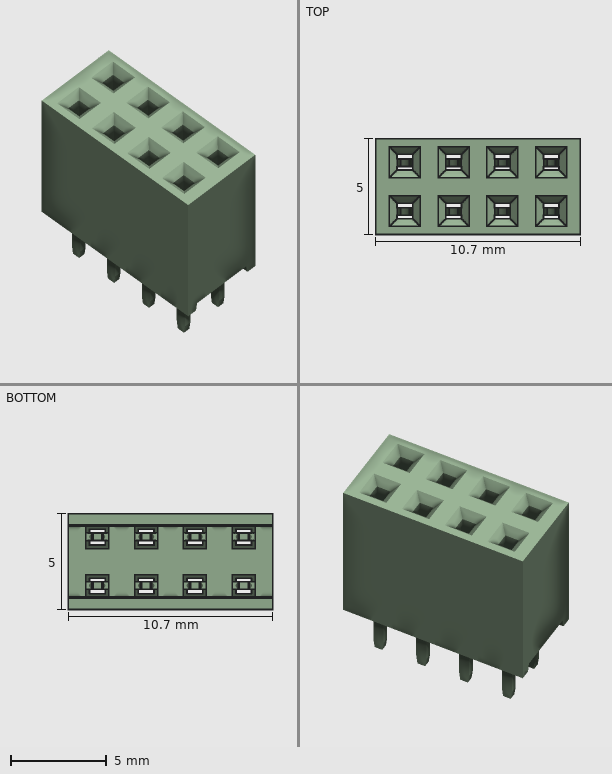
import cadquery as cq
import math

OVERALL_HEIGHT = 11.5

COLUMNS = 4
ROWS = 2
PITCH = 2.54

HOUSING_LENGTH = 10.66
HOUSING_WIDTH = 5.0
HOUSING_HEIGHT = 8.5
STANDOFF_HEIGHT = 0.5
CHANNEL_MOUTH_WIDTH = 3.84
CHANNEL_ROOF_WIDTH = 3.68

ENTRY_SIZE = 1.61
NECK_SIZE = 0.8
ENTRY_DEPTH = (ENTRY_SIZE - NECK_SIZE) / 2
NECK_LENGTH = 0.44
CAVITY_SIZE = 1.2
CAVITY_TOP = HOUSING_HEIGHT - ENTRY_DEPTH - NECK_LENGTH

CONTACT_THICKNESS = 0.4
CONTACT_OFFSET_Y = -0.02
FORK_WIDTH = CAVITY_SIZE
FORK_TOP = 6.9
ARM_TIP_WIDTH = 0.12
PINCH_GAP = 0.44
BULGE_RADIUS = 1.5
ROOT_RADIUS = 0.31
TAIL_WIDTH = 0.6
TAIL_LENGTH = OVERALL_HEIGHT - HOUSING_HEIGHT
TAIL_TIP_WIDTH = 0.45
TAIL_TIP_LENGTH = 0.54


def grid_points():
    """XY centres of all the socket positions."""
    return [
        ((column - (COLUMNS - 1) / 2) * PITCH, (row - (ROWS - 1) / 2) * PITCH)
        for column in range(COLUMNS)
        for row in range(ROWS)
    ]


def make_channel():
    """Trapezoidal channel along X that leaves a foot on each long side."""
    return (
        cq.Workplane("YZ")
        .polyline([
            (-CHANNEL_MOUTH_WIDTH / 2, 0),
            (CHANNEL_MOUTH_WIDTH / 2, 0),
            (CHANNEL_ROOF_WIDTH / 2, STANDOFF_HEIGHT),
            (-CHANNEL_ROOF_WIDTH / 2, STANDOFF_HEIGHT),
        ])
        .close()
        .extrude(HOUSING_LENGTH / 2, both=True)
    )


def make_socket(x, y):
    """Empty space of one socket: entry, neck and cavity."""
    entry = (
        cq.Workplane("XY", origin=(x, y, HOUSING_HEIGHT))
        .rect(ENTRY_SIZE, ENTRY_SIZE)
        .workplane(offset=-ENTRY_DEPTH)
        .rect(NECK_SIZE, NECK_SIZE)
        .loft(ruled=True)
    )
    neck = (
        cq.Workplane("XY", origin=(x, y, CAVITY_TOP))
        .rect(NECK_SIZE, NECK_SIZE)
        .extrude(NECK_LENGTH)
    )
    cavity = (
        cq.Workplane("XY", origin=(x, y, STANDOFF_HEIGHT))
        .rect(CAVITY_SIZE, CAVITY_SIZE)
        .extrude(CAVITY_TOP - STANDOFF_HEIGHT)
    )
    return entry.union(neck).union(cavity)


def make_housing():
    """Block with a channel underneath and one socket per contact."""
    housing = (
        cq.Workplane("XY")
        .box(HOUSING_LENGTH, HOUSING_WIDTH, HOUSING_HEIGHT, centered=(True, True, False))
        .cut(make_channel())
    )
    for x, y in grid_points():
        housing = housing.cut(make_socket(x, y))
    return housing


def make_contact(x, y):
    """Fork whose arms bulge toward each other above a round root, with a tapered tail below."""
    bulge_x = PINCH_GAP / 2 + BULGE_RADIUS
    mouth_x = FORK_WIDTH / 2 - ARM_TIP_WIDTH
    bulge_z = FORK_TOP - math.sqrt(BULGE_RADIUS**2 - (bulge_x - mouth_x) ** 2)
    center_distance = BULGE_RADIUS + ROOT_RADIUS
    root_z = bulge_z - math.sqrt(center_distance**2 - bulge_x**2)
    blend_x = bulge_x * ROOT_RADIUS / center_distance
    blend_z = root_z + (bulge_z - root_z) * ROOT_RADIUS / center_distance

    front_y = y + CONTACT_OFFSET_Y - CONTACT_THICKNESS / 2
    outline = (
        cq.Workplane("XZ", origin=(x, front_y, 0))
        .moveTo(-TAIL_TIP_WIDTH / 2, -TAIL_LENGTH)
        .lineTo(TAIL_TIP_WIDTH / 2, -TAIL_LENGTH)
        .lineTo(TAIL_WIDTH / 2, TAIL_TIP_LENGTH - TAIL_LENGTH)
        .lineTo(TAIL_WIDTH / 2, STANDOFF_HEIGHT)
        .lineTo(FORK_WIDTH / 2, STANDOFF_HEIGHT)
        .lineTo(FORK_WIDTH / 2, FORK_TOP)
        .lineTo(mouth_x, FORK_TOP)
        .threePointArc((PINCH_GAP / 2, bulge_z), (blend_x, blend_z))
        .threePointArc((0, root_z - ROOT_RADIUS), (-blend_x, blend_z))
        .threePointArc((-PINCH_GAP / 2, bulge_z), (-mouth_x, FORK_TOP))
        .lineTo(-FORK_WIDTH / 2, FORK_TOP)
        .lineTo(-FORK_WIDTH / 2, STANDOFF_HEIGHT)
        .lineTo(-TAIL_WIDTH / 2, STANDOFF_HEIGHT)
        .lineTo(-TAIL_WIDTH / 2, TAIL_TIP_LENGTH - TAIL_LENGTH)
        .close()
    )
    return outline.extrude(-CONTACT_THICKNESS)


housing = make_housing()
contacts = [make_contact(x, y) for x, y in grid_points()]

result = cq.Compound.makeCompound([housing.val(), *[contact.val() for contact in contacts]])